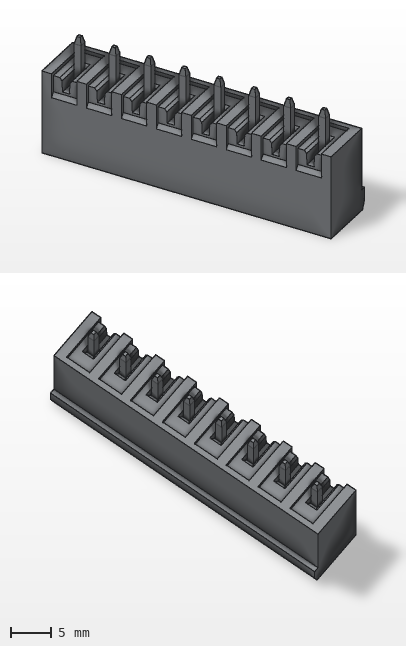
import cadquery as cq

positions = 8
pitch = 5.0
end_margin = 3.2
housing_length = (positions - 1) * pitch + 2 * end_margin
housing_depth = 7.8
housing_height = 12.0

ledge_projection = 0.7
ledge_height = 3.0
ledge_bevel_depth = 0.5
ledge_bevel_height = 1.3

pocket_width = 3.6
pocket_depth = 0.5
pocket_floor = housing_height - pocket_depth
pocket_back = 7.0

notch_depth = 0.45
sill_outer_height = 8.5
sill_inner_height = 9.15

pin_width = 1.0
pin_tip_width = 0.5
pin_tip_height = 1.0
pin_top = 16.0
pin_y = 3.88

channel_floor = 9.5
channel_floor_width = pin_width
mouth_flare = 0.3
mouth_flare_height = 0.4
throat_width = 1.15
throat_height = pocket_floor - mouth_flare_height
mouth_width = throat_width + 2 * mouth_flare
mouth_back = 5.0
channel_floor_back = pin_y + pin_width / 2
back_slope_height = 0.7


def make_housing():
    """Extrude the side profile, including the bevelled back ledge."""
    ledge_back = housing_depth + ledge_projection
    profile = [
        (0, 0),
        (ledge_back - ledge_bevel_depth, 0),
        (ledge_back, ledge_bevel_height),
        (ledge_back, ledge_height),
        (housing_depth, ledge_height),
        (housing_depth, housing_height),
        (0, housing_height),
    ]
    return extrude_along_x(profile, housing_length)


def extrude_along_x(profile, length):
    """Extrude a closed (y, z) profile symmetrically about X = 0."""
    return cq.Workplane("YZ").polyline(profile).close().extrude(length / 2, both=True)


def make_pocket():
    """Pocket and front notch, as one cutter of constant section along X."""
    profile = [
        (0, sill_outer_height),
        (notch_depth, sill_inner_height),
        (notch_depth, pocket_floor),
        (pocket_back, pocket_floor),
        (pocket_back, housing_height),
        (0, housing_height),
    ]
    return extrude_along_x(profile, pocket_width)


def make_channel():
    """Channel cutter: the flared cross-section limited by the sloping back wall."""
    right_wall = [
        (channel_floor_width / 2, channel_floor),
        (throat_width / 2, throat_height),
        (mouth_width / 2, pocket_floor),
    ]
    left_wall = [(-x, z) for x, z in reversed(right_wall)]
    cross_section = (
        cq.Workplane("XZ")
        .polyline(right_wall + left_wall)
        .close()
        .extrude(-mouth_back)
    )
    side_profile = [
        (0, channel_floor),
        (channel_floor_back, channel_floor),
        (channel_floor_back, pocket_floor - back_slope_height),
        (mouth_back, pocket_floor),
        (0, pocket_floor),
    ]
    return cross_section.intersect(extrude_along_x(side_profile, mouth_width))


def make_pin():
    """Square pin standing on the channel floor, with a tapered tip."""
    shoulder = pin_top - pin_tip_height
    shank = (
        cq.Workplane("XY", origin=(0, pin_y, channel_floor))
        .rect(pin_width, pin_width)
        .extrude(shoulder - channel_floor)
    )
    tip = (
        cq.Workplane("XY", origin=(0, pin_y, shoulder))
        .rect(pin_width, pin_width)
        .workplane(offset=pin_tip_height)
        .rect(pin_tip_width, pin_tip_width)
        .loft(ruled=True)
    )
    return shank.union(tip)


result = make_housing()
cavity = make_pocket().union(make_channel())
pin = make_pin()
for index in range(positions):
    offset = ((index - (positions - 1) / 2) * pitch, 0, 0)
    result = result.cut(cavity.translate(offset)).union(pin.translate(offset))